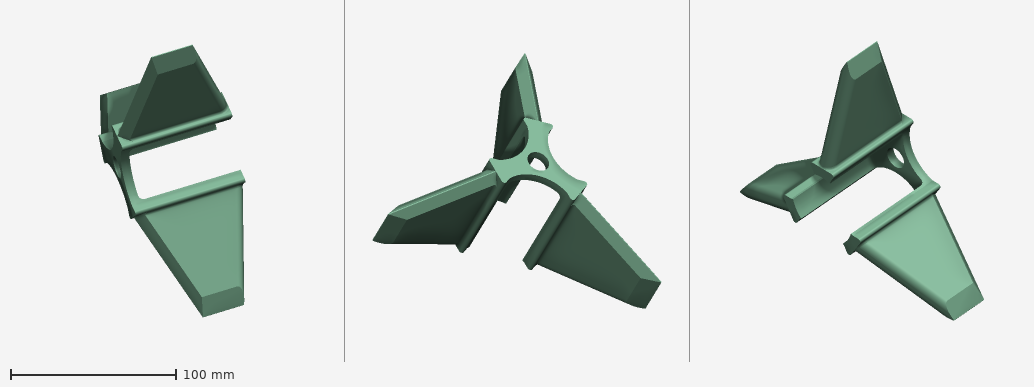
import cadquery as cq
import math

arm_count = 3
axis_tilt = math.radians(30)
span = 177.5
depth = 71.0
front_y = -depth / 2

plate_thickness = 5.7
hole_diameter = 14.0
waist_radius = 11.4
side_arc_radius = 26.6
rail_top = 32.0
rail_half_width = 10.8
rail_corner_radius = 1.8
neck_height = 25.4
bore_radius = 24.7
bore_fillet = 3.4

fin_thickness = 11.2
fin_tip_half_width = 13.3
fin_root_half_width = 35.2
edge_bevel = 5.3
tip_half_flat = fin_thickness / 2 - edge_bevel
tip_radius = (span / 2 - tip_half_flat * math.sin(axis_tilt)) / math.cos(axis_tilt)
tip_bevel_length = 11.5
root_fillet = 1.8

pick_margin = 0.2


def turned(body):
    """Turn the body about the Y axis by one arm."""
    return body.rotate((0, 0, 0), (0, 1, 0), 360 / arm_count)


def extruded(outline):
    """Extrude an XZ outline through the full depth from the front face."""
    return outline.extrude(-depth)


def front_plane():
    """XZ sketch plane on the front face."""
    return cq.Workplane("XZ", origin=(0, front_y, 0))


def turned_point(x, z, index):
    """Turn a point of the XZ outline about the axis to its arm."""
    angle = index * 2 * math.pi / arm_count
    return (
        x * math.cos(angle) + z * math.sin(angle),
        z * math.cos(angle) - x * math.sin(angle),
    )


def hub():
    """Three-armed hub outline through the full depth, before its middle is bored out."""
    arc_offset = waist_radius + side_arc_radius
    arc_x = arc_offset * math.cos(axis_tilt)
    arc_z = arc_offset * math.sin(axis_tilt)
    neck_x = arc_x - math.sqrt(side_arc_radius**2 - (neck_height - arc_z) ** 2)
    waist_x = waist_radius * math.cos(axis_tilt)
    waist_z = waist_radius * math.sin(axis_tilt)
    rail_side = [
        (-rail_half_width, rail_top),
        (rail_half_width, rail_top),
        (neck_x, neck_height),
    ]

    outline = front_plane().moveTo(-neck_x, neck_height)
    for index in range(arm_count):
        for x, z in rail_side:
            outline = outline.lineTo(*turned_point(x, z, index))
        waist = turned_point(waist_x, waist_z, index)
        next_neck = turned_point(-neck_x, neck_height, index + 1)
        outline = outline.threePointArc(waist, next_neck)
    return extruded(outline.close())


def rail_top_edges(body, half_width):
    """Lengthwise edges on the top of the +Z rail, within the given distance from its middle."""
    reach = half_width + pick_margin
    box = cq.selectors.BoxSelector(
        (-reach, -depth, rail_top - pick_margin), (reach, depth, rail_top + pick_margin)
    )
    return body.edges("|Y").edges(box)


def bore():
    """Round space behind the hub plate, rounded where it meets the plate."""
    length = depth - plate_thickness
    cylinder = cq.Workplane("XZ", origin=(0, depth / 2, 0)).circle(bore_radius).extrude(length)
    return cylinder.faces("<Y").edges().fillet(bore_fillet)


def fin():
    """Tapered fin with bevelled front edge and tip and a rounded rear edge."""
    blade = (
        cq.Workplane("YZ", origin=(-fin_thickness / 2, 0, 0))
        .moveTo(-fin_root_half_width, rail_top)
        .lineTo(fin_root_half_width, rail_top)
        .lineTo(fin_tip_half_width, tip_radius)
        .lineTo(-fin_tip_half_width, tip_radius)
        .close()
        .extrude(fin_thickness)
    )
    slanted = blade.faces("<X or >X").edges("not |Y")
    blade = blade.newObject(slanted.edges(">Y").vals()).fillet(edge_bevel)
    front_edges = blade.faces("<X or >X").edges("<Y")
    blade = blade.newObject(front_edges.vals()).chamfer(edge_bevel)
    half = fin_thickness / 2
    bevel_start = tip_radius - tip_bevel_length
    tip_profile = (
        front_plane()
        .moveTo(-half, 0)
        .lineTo(half, 0)
        .lineTo(half, bevel_start)
        .lineTo(tip_half_flat, tip_radius)
        .lineTo(-tip_half_flat, tip_radius)
        .lineTo(-half, bevel_start)
        .close()
    )
    return blade.intersect(extruded(tip_profile))


result = hub()
for _ in range(arm_count):
    result = rail_top_edges(result, rail_half_width).fillet(rail_corner_radius)
    result = turned(result)

result = result.cut(bore())

for _ in range(arm_count):
    result = result.union(fin())
    result = rail_top_edges(result, fin_thickness / 2).fillet(root_fillet)
    result = turned(result)

result = result.cut(extruded(front_plane().circle(hole_diameter / 2)))